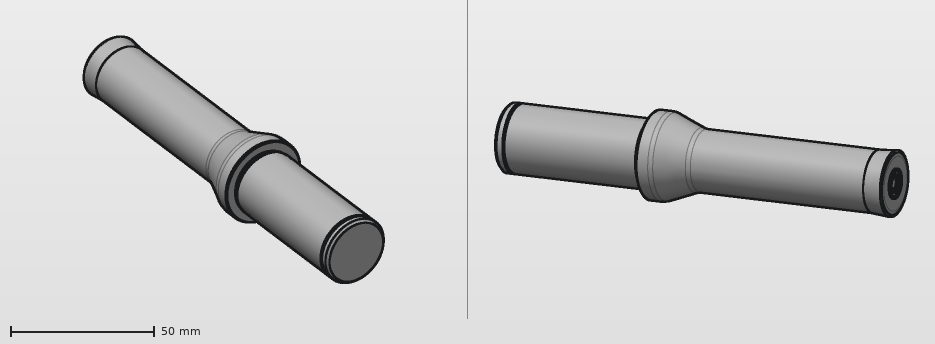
import cadquery as cq

total_length = 149.0
head_length = 7.3
cone_start = 74.8
cone_end = 87.2
collar_end = 92.8
neck_length = 0.9

front_diameter = 22.5
collar_diameter = 32.0
neck_diameter = 24.5
shank_diameter = 25.0

cone_blend_radius = 4.9
collar_chamfer = 0.5
shank_lead_length = 0.9
shank_end_chamfer = 1.0
groove_start = 145.0
groove_width = 0.7
groove_depth = 0.1

head_diameter = 23.7
head_flat_diameter = 19.4
head_bevel_diameter = 22.0
head_bevel_depth = 0.1
head_edge_depth = 0.6

ring_outer_diameter = 10.7
ring_inner_diameter = 9.0
ring_depth = 0.3
counterbore_diameter = 6.5
counterbore_depth = 0.6
step_diameter = 5.0
step_depth = 0.5
dimple_diameter = 3.6
dimple_depth = 0.3


def turned(profile):
    """Revolve a closed list of (x, radius) points about the X axis."""
    return cq.Workplane("XY").polyline(profile).close().revolve(360, (0, 0, 0), (1, 0, 0))


def disc(diameter, start, length):
    """Cylinder along +X from the given start position."""
    return cq.Workplane("YZ", origin=(start, 0, 0)).circle(diameter / 2).extrude(length)


def make_holder():
    front_radius = front_diameter / 2
    collar_radius = collar_diameter / 2
    neck_radius = neck_diameter / 2
    shank_radius = shank_diameter / 2
    neck_end = collar_end + neck_length

    holder = turned([
        (head_length, 0),
        (head_length, front_radius),
        (cone_start, front_radius),
        (cone_end, collar_radius),
        (collar_end - collar_chamfer, collar_radius),
        (collar_end, collar_radius - collar_chamfer),
        (collar_end, neck_radius),
        (neck_end, neck_radius),
        (neck_end + shank_lead_length, shank_radius),
        (total_length - shank_end_chamfer, shank_radius),
        (total_length, shank_radius - shank_end_chamfer),
        (total_length, 0),
    ])

    for position in (cone_start, cone_end):
        cone_edge = cq.selectors.BoxSelector(
            (position - collar_chamfer, -collar_diameter, -collar_diameter),
            (position + collar_chamfer, collar_diameter, collar_diameter),
            boundingbox=True,
        )
        holder = holder.edges(cone_edge).fillet(cone_blend_radius)

    groove = disc(shank_diameter, groove_start, groove_width).cut(
        disc(shank_diameter - 2 * groove_depth, groove_start, groove_width)
    )
    return holder.cut(groove)


def make_head():
    head = turned([
        (0, 0),
        (0, head_flat_diameter / 2),
        (head_bevel_depth, head_bevel_diameter / 2),
        (head_edge_depth, head_diameter / 2),
        (head_length, front_diameter / 2),
        (head_length, 0),
    ])

    ring = disc(ring_outer_diameter, 0, ring_depth).cut(disc(ring_inner_diameter, 0, ring_depth))

    step_floor = counterbore_depth + step_depth
    counterbore = disc(counterbore_diameter, 0, counterbore_depth)
    step = disc(step_diameter, counterbore_depth, step_depth)
    dimple = turned([
        (step_floor, 0),
        (step_floor, dimple_diameter / 2),
        (step_floor + dimple_depth, 0),
    ])
    return head.cut(ring).cut(counterbore).cut(step).cut(dimple)


holder = make_holder()
head = make_head()
result = cq.Compound.makeCompound([holder.val(), head.val()])